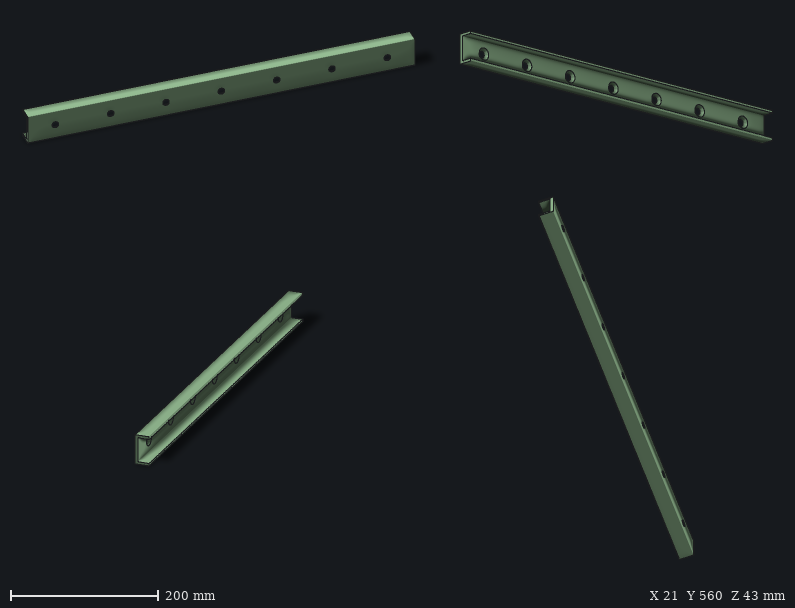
import cadquery as cq

length = 560.0
width = 21.0
height = 43.0

web_thickness = 5.0
flange_thickness = 4.0
edge_radius = 1.0

hole_count = 7
hole_pitch = length / hole_count
hole_diameter = 9.0
countersink_diameter = 17.5
countersink_angle = 90

web_face_x = width / 2 - web_thickness


def make_channel():
    """C-shaped rail along Y, open towards -X, with rounded outer and inner corners."""
    cavity_width = width - web_thickness
    cavity_height = height - 2 * flange_thickness
    cavity = (
        cq.Workplane("XY")
        .box(cavity_width, length, cavity_height)
        .translate((web_face_x - cavity_width / 2, 0, 0))
        .edges("|Y and >X")
        .fillet(edge_radius)
    )
    outer_block = cq.Workplane("XY").box(width, length, height).edges("|Y").fillet(edge_radius)
    return outer_block.cut(cavity)


def drill_web(channel):
    """Cut the row of holes, countersunk from the inside of the channel."""
    web_face = cq.Plane(origin=(web_face_x, 0, 0), xDir=(0, 1, 0), normal=(-1, 0, 0))
    return (
        channel.copyWorkplane(cq.Workplane(web_face))
        .rarray(hole_pitch, 5.5, hole_count, 1)
        .cskHole(hole_diameter, countersink_diameter, countersink_angle, depth=web_thickness)
    )


result = drill_web(make_channel())